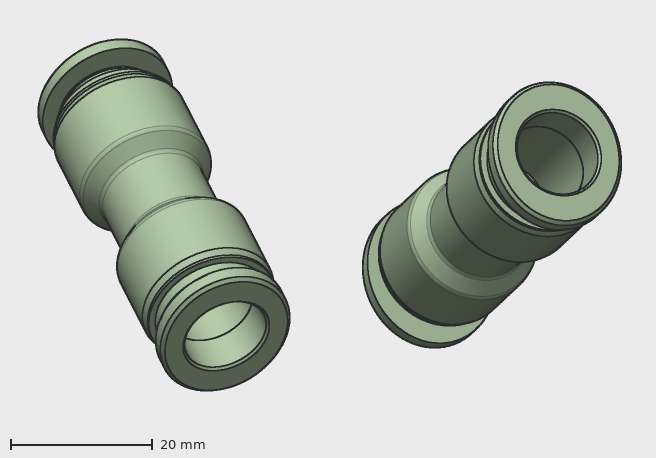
import cadquery as cq


length = 52.2
half_length = length / 2

flange_height = 21.5
flange_width = 19.4
neck_dia = 14.2
ring_dia = 16.9
collar_bore_dia = 12.2

flange_thickness = 2.45
neck_length = 1.95
ring_length = 1.7

flange_chamfer = 0.5
collar_bore_chamfer = 0.35
neck_root_chamfer = 0.15

shoulder_dia = 18.9
socket_dia = 19.7
waist_dia = 15.2
tube_bore_dia = 12.15
through_bore_dia = 10.0

shoulder_length = 0.45
lead_in_length = 1.1
socket_inner_x = 7.5
waist_x = 5.0
blend_radius = 1.05

flange_inner_x = half_length - flange_thickness
ring_x = flange_inner_x - neck_length
housing_end_x = ring_x - ring_length
lead_in_x = housing_end_x - shoulder_length
socket_outer_x = lead_in_x - lead_in_length
tube_stop_x = waist_x


def cylinder(diameter, start_x, end_x):
    """Solid cylinder on the X axis."""
    return cq.Workplane("YZ", origin=(start_x, 0, 0)).circle(diameter / 2).extrude(end_x - start_x)


def make_housing():
    """Turned housing with a stepped bore, the same at both ends."""
    right_outline = [
        (waist_x, waist_dia / 2),
        (socket_inner_x, socket_dia / 2),
        (socket_outer_x, socket_dia / 2),
        (lead_in_x, shoulder_dia / 2),
        (housing_end_x, shoulder_dia / 2),
        (housing_end_x, 0),
    ]
    left_outline = [(-x, radius) for x, radius in reversed(right_outline)]
    body = cq.Workplane("XY").polyline(left_outline + right_outline).close()
    body = body.revolve(360, (0, 0, 0), (1, 0, 0))

    for blend_x in (-socket_inner_x, -waist_x, waist_x, socket_inner_x):
        body = body.edges(cq.NearestToPointSelector((blend_x, 0, 0))).fillet(blend_radius)

    body = body.cut(cylinder(through_bore_dia, -housing_end_x, housing_end_x))
    for side in (-1, 1):
        body = body.cut(cylinder(tube_bore_dia, side * tube_stop_x, side * housing_end_x))
    return body


def make_collar(turn):
    """Release collar for the +X end, turned about Z by the given degrees."""
    flange = (
        cq.Workplane("YZ", origin=(flange_inner_x, 0, 0))
        .ellipse(flange_width / 2, flange_height / 2)
        .extrude(flange_thickness)
        .faces(">X")
        .chamfer(flange_chamfer)
    )
    collar = flange.union(cylinder(neck_dia, ring_x, flange_inner_x))

    neck_root = cq.NearestToPointSelector((flange_inner_x, 0, 0))
    collar = collar.edges("%CIRCLE").edges(neck_root).chamfer(neck_root_chamfer)

    collar = collar.union(cylinder(ring_dia, housing_end_x, ring_x))
    collar = collar.cut(cylinder(collar_bore_dia, housing_end_x, half_length))
    collar = collar.faces(">X").edges("%CIRCLE").chamfer(collar_bore_chamfer)
    return collar.rotate((0, 0, 0), (0, 0, 1), turn)


housing = make_housing()
collars = [make_collar(turn) for turn in (0, 180)]

result = cq.Compound.makeCompound([housing.val(), *[collar.val() for collar in collars]])